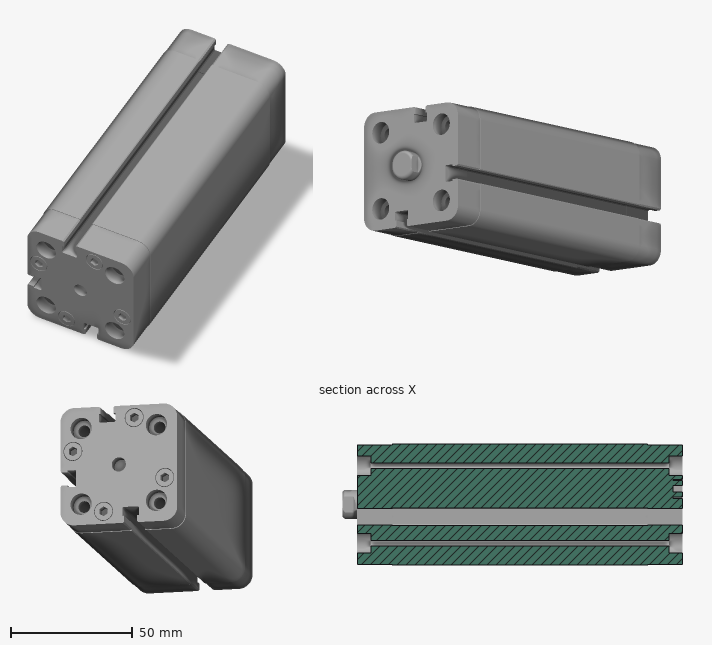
import cadquery as cq
import math


barrel_width = 50.1
cap_width = 49.6
corner_center = 19.0
cap_length = 14.5
barrel_length = 105.5
body_length = barrel_length + 2 * cap_length

rod_diameter = 12.0
rod_length = 6.0
rod_flats_width = 10.0
rod_flat_length = 4.5
rod_flat_runout_angle = 50.0
rod_tip_fillet = 1.35

slot_offset = -5.0
slot_mouth_width = 5.5
slot_lip_height = 21.8
slot_angles = (0, 90, 180)
slot_floor_chamfer = 0.4
barrel_slot_width = 7.0
barrel_slot_floor = 17.9
barrel_mouth_chamfer = 0.4
cap_slot_width = 7.0
cap_slot_floor = 18.1
cap_mouth_chamfer = 0.65
mouth_chamfer_slope = 0.7

mount_spacing = 32.0
mount_hole_diameter = 4.92
mount_counterbore_diameter = 9.0
mount_counterbore_depth = 5.6

center_hole_diameter = 6.0
center_hole_depth = 5.0

screw_short_offset = 6.5
screw_long_offset = 19.5
screw_head_diameter = 7.5
screw_recess_diameter = 8.0
screw_recess_depth = 4.0
hex_across_flats = 3.5
hex_depth = 4.0
screw_count = 4


def cross_section(y):
    """Workplane across the axis at position y; negative extrusions run toward +Y."""
    return cq.Workplane("XZ", origin=(0, y, 0))


def slot_cutter(start, length, outer_width, inner_width, floor_height, mouth_chamfer):
    """Top T-slot with a chamfered mouth."""
    top = outer_width / 2
    half_mouth = slot_mouth_width / 2
    half_inner = inner_width / 2
    half_outer = half_mouth + mouth_chamfer
    right_side = [
        (half_inner - slot_floor_chamfer, floor_height),
        (half_inner, floor_height + slot_floor_chamfer),
        (half_inner, slot_lip_height),
        (half_mouth, slot_lip_height),
        (half_mouth, top - mouth_chamfer * mouth_chamfer_slope),
        (half_outer, top),
    ]
    left_side = [(-x, z) for x, z in reversed(right_side)]
    outline = [(slot_offset + x, z) for x, z in right_side + left_side]
    return cross_section(start).polyline(outline).close().extrude(-length)


def slotted_block(start, length, width, slot_width, slot_floor, mouth_chamfer):
    """Length of rounded square bar with T-slots on three sides."""
    block = cross_section(start).rect(width, width).extrude(-length)
    block = block.edges("|Y").fillet(width / 2 - corner_center)
    cutter = slot_cutter(start, length, width, slot_width, slot_floor, mouth_chamfer)
    for angle in slot_angles:
        block = block.cut(cutter.rotate((0, 0, 0), (0, -1, 0), angle))
    return block


def make_cap(start):
    return slotted_block(start, cap_length, cap_width, cap_slot_width, cap_slot_floor, cap_mouth_chamfer)


def make_barrel():
    return slotted_block(
        cap_length, barrel_length, barrel_width, barrel_slot_width, barrel_slot_floor, barrel_mouth_chamfer
    )


def make_rod():
    """Rod end with a rounded tip and two wrench flats with sloping run-outs."""
    radius = rod_diameter / 2
    tip = body_length + rod_length
    rod_start = body_length - cap_length / 2
    rod = cross_section(rod_start).circle(radius).extrude(rod_start - tip)
    rod = rod.faces(">Y").edges().fillet(rod_tip_fillet)
    half_flats = rod_flats_width / 2
    runout_length = (radius - half_flats) / math.tan(math.radians(rod_flat_runout_angle))
    flat_end = tip - rod_flat_length
    flat_profile = [
        (half_flats, tip),
        (half_flats, flat_end),
        (radius, flat_end - runout_length),
        (radius, tip),
    ]
    flat = cq.Workplane("XY").polyline(flat_profile).close().extrude(radius, both=True)
    return rod.cut(flat).cut(flat.mirror("YZ"))


def mount_hole_cutter():
    """Through hole on the axis with a counterbore at both ends."""
    through = cross_section(0).circle(mount_hole_diameter / 2).extrude(-body_length)
    front = cross_section(0).circle(mount_counterbore_diameter / 2).extrude(-mount_counterbore_depth)
    rear = front.translate((0, body_length - mount_counterbore_depth, 0))
    return through.union(front).union(rear)


def screw_cutter():
    """Annular clearance and hexagon socket of one screw, on the axis."""
    plane = cross_section(0)
    gap = plane.circle(screw_recess_diameter / 2).circle(screw_head_diameter / 2)
    gap = gap.extrude(-screw_recess_depth)
    hex_across_corners = hex_across_flats / math.cos(math.radians(30))
    socket = plane.transformed(rotate=(0, 0, 90)).polygon(6, hex_across_corners).extrude(-hex_depth)
    return gap.union(socket)


result = make_cap(0).union(make_barrel()).union(make_cap(body_length - cap_length))
result = result.union(make_rod())
mount_hole = mount_hole_cutter()
for x_side in (-1, 1):
    for z_side in (-1, 1):
        shift = (x_side * mount_spacing / 2, 0, z_side * mount_spacing / 2)
        result = result.cut(mount_hole.translate(shift))
center_hole = cross_section(0).circle(center_hole_diameter / 2).extrude(-center_hole_depth)
result = result.cut(center_hole)
screw = screw_cutter()
screw_x, screw_z = screw_short_offset, screw_long_offset
for _ in range(screw_count):
    result = result.cut(screw.translate((screw_x, 0, screw_z)))
    screw_x, screw_z = -screw_z, screw_x